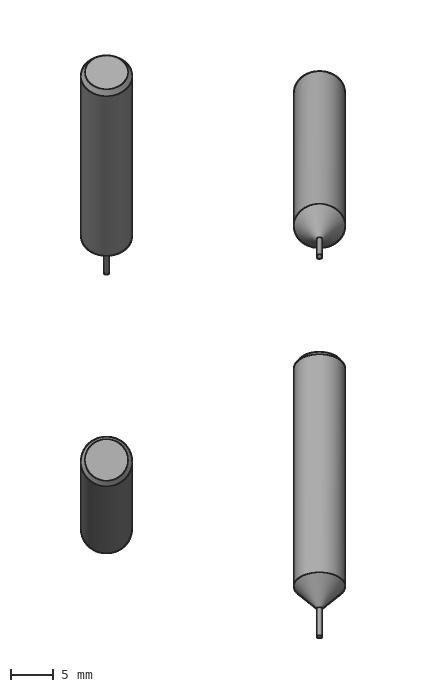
import cadquery as cq

total_length = 38.0
shank_diameter = 6.0

pin_diameter = 0.65
pin_length = 4.0
tip_height = 0.08

neck_height = 3.08
chamfer_width = 0.5
chamfer_height = 0.7

shank_radius = shank_diameter / 2
pin_radius = pin_diameter / 2
top_radius = shank_radius - chamfer_width
neck_top = pin_length + neck_height
chamfer_bottom = total_length - chamfer_height


def turned_body(outline):
    """Revolve a closed (radius, height) outline around Z."""
    profile = cq.Workplane("YZ").polyline(outline).close()
    return profile.revolve(360, (0, 0), (0, 1))


def make_shank():
    """Chamfered cylinder that narrows through a cone to the diameter of the pin."""
    return turned_body([
        (0, pin_length),
        (pin_radius, pin_length),
        (shank_radius, neck_top),
        (shank_radius, chamfer_bottom),
        (top_radius, total_length),
        (0, total_length),
    ])


def make_cutting_pin():
    """Thin cylinder with a shallow conical point, seated on the small end of the neck."""
    return turned_body([
        (0, 0),
        (pin_radius, tip_height),
        (pin_radius, pin_length),
        (0, pin_length),
    ])


shank = make_shank()
cutting_pin = make_cutting_pin()

result = cq.Compound.makeCompound([shank.val(), cutting_pin.val()])